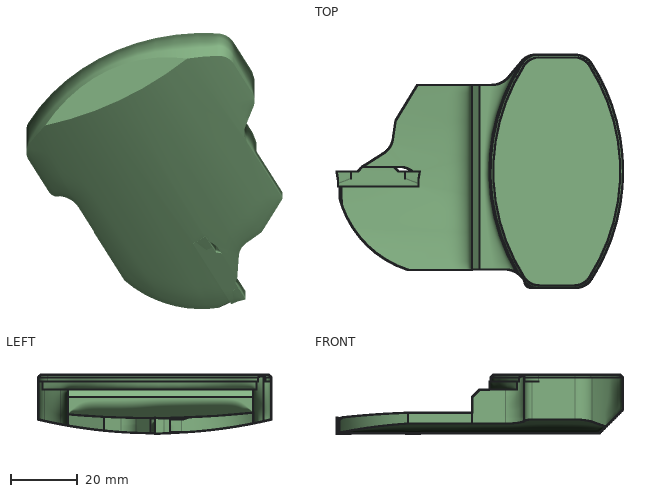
import cadquery as cq
import math

HEAD_TOP = 17.6
SHOULDER_TOP = 13.1
LEDGE_Z = 15.6
BELLY_RADIUS = 150.0

HEAD_HALF_WIDTH = 20.0
HEAD_HALF_LENGTH = 35.0
LENS_RADIUS = 60.0
HEAD_CORNER_RADIUS = 6.0
TIER_OUTSET = 0.1
CAP_INSET = 0.25
CAP_CHAMFER = 0.85
HEEL_CHAMFER = 7.1

SHOULDER_X = -25.25
SHOULDER_CHAMFER = 2.2
BACK_Y = 25.95
FRONT_Y = -29.45
BACK_NECK_ANGLE = 50.0
BACK_NECK_X = -16.3
BACK_NECK_RADIUS = 6.5
BACK_CORNER_RADIUS = 5.5
FRONT_NECK_X = -15.3
FRONT_CORNER_X = -7.3
FRONT_CORNER_RADIUS = 2.35

BLADE_CROWN_RADIUS = 285.0
BLADE_CROWN_Y = 1.0
BLADE_THICKNESS = 4.57
BLADE_FRONT_Y = -29.6
NOSE_X = -65.0
NOSE_END_Y = -8.0
NOSE_ARC_START_X = -44.4
NOSE_ARC_MIDDLE = (-57.4, -21.5)
THROAT_START = (-51.45, 5.67)
THROAT_MIDDLE = (-49.75, 7.6)
THROAT_END = (-49.0, 10.1)
BACK_SLANT_START = (-48.24, 15.14)
BACK_SLANT_END_X = -41.7
NOSE_TOP_CHAMFER = 0.5
NOSE_BOTTOM_CHAMFER = 0.4

INSERT_LENGTH = 25.0
INSERT_CENTER_X = -53.43
INSERT_DEPTH = 4.6
INSERT_THICKNESS = 4.46
END_RELIEF = 0.45
END_RELIEF_DEPTH = 2.7
RIB_HEIGHT = 1.3
RIB_FOOT_HALF = 6.08
RIB_TOP_HALF = 4.9
TIP_LENGTH = 4.4
TIP_DEPTH = 3.8
TIP_PROUD = 0.22
TIP_TAPER = 0.1

GAP_TOP_X = -46.6
GAP_BEND = (-44.8, 0.9)
GAP_END_X = -43.2

MARGIN = 5.0


def lens_reach(y):
    """X distance from the head centre plane to the lens arc at a given Y."""
    return HEAD_HALF_WIDTH - LENS_RADIUS + math.sqrt(LENS_RADIUS**2 - y**2)


LENS_CORNER = lens_reach(HEAD_HALF_LENGTH)


def lens(left_inset):
    """Lens outline, its left arc moved in by left_inset."""
    left_corner = left_inset - LENS_CORNER
    return (
        cq.Workplane("XY")
        .moveTo(left_corner, -HEAD_HALF_LENGTH)
        .lineTo(LENS_CORNER, -HEAD_HALF_LENGTH)
        .threePointArc((HEAD_HALF_WIDTH, 0), (LENS_CORNER, HEAD_HALF_LENGTH))
        .lineTo(left_corner, HEAD_HALF_LENGTH)
        .threePointArc((left_inset - HEAD_HALF_WIDTH, 0), (left_corner, -HEAD_HALF_LENGTH))
        .close()
    )


def round_corner(solid, x, y, radius):
    """Fillet the upright edge nearest to (x, y)."""
    return solid.edges("|Z").edges(cq.selectors.NearestToPointSelector((x, y, HEAD_TOP / 2))).fillet(radius)


def make_body_prism():
    """Full-height prism of shoulder, necks and head."""
    back_rise = HEAD_HALF_LENGTH - BACK_Y
    back_corner_x = BACK_NECK_X + back_rise / math.tan(math.radians(BACK_NECK_ANGLE))
    front_corner_y = FRONT_CORNER_RADIUS - HEAD_HALF_LENGTH
    front_corner_offset = FRONT_CORNER_RADIUS * math.sqrt(0.5)
    prism = (
        cq.Workplane("XY")
        .moveTo(SHOULDER_X, FRONT_Y)
        .lineTo(FRONT_NECK_X, FRONT_Y)
        .tangentArcPoint((FRONT_CORNER_X - FRONT_CORNER_RADIUS, front_corner_y), relative=False)
        .threePointArc(
            (FRONT_CORNER_X - front_corner_offset, front_corner_y - front_corner_offset),
            (FRONT_CORNER_X, -HEAD_HALF_LENGTH),
        )
        .lineTo(LENS_CORNER, -HEAD_HALF_LENGTH)
        .threePointArc((HEAD_HALF_WIDTH, 0), (LENS_CORNER, HEAD_HALF_LENGTH))
        .lineTo(back_corner_x, HEAD_HALF_LENGTH)
        .lineTo(BACK_NECK_X, BACK_Y)
        .lineTo(SHOULDER_X, BACK_Y)
        .close()
        .extrude(HEAD_TOP)
    )
    corners = [
        (LENS_CORNER, -HEAD_HALF_LENGTH, HEAD_CORNER_RADIUS),
        (LENS_CORNER, HEAD_HALF_LENGTH, HEAD_CORNER_RADIUS),
        (back_corner_x, HEAD_HALF_LENGTH, BACK_CORNER_RADIUS),
        (BACK_NECK_X, BACK_Y, BACK_NECK_RADIUS),
    ]
    for x, y, radius in corners:
        prism = round_corner(prism, x, y, radius)
    return prism


def make_body_steps():
    """Side profile of the shoulder topped by the lens and its chamfered cap."""
    half_width = HEAD_HALF_LENGTH + MARGIN
    shoulder = (
        cq.Workplane("XZ")
        .moveTo(SHOULDER_X, 0)
        .lineTo(HEAD_HALF_WIDTH - HEEL_CHAMFER, 0)
        .lineTo(HEAD_HALF_WIDTH + MARGIN, HEEL_CHAMFER + MARGIN)
        .lineTo(HEAD_HALF_WIDTH + MARGIN, SHOULDER_TOP)
        .lineTo(SHOULDER_X + SHOULDER_CHAMFER, SHOULDER_TOP)
        .lineTo(SHOULDER_X, SHOULDER_TOP - SHOULDER_CHAMFER)
        .close()
        .extrude(half_width, both=True)
    )
    tier = lens(-TIER_OUTSET).extrude(LEDGE_Z - SHOULDER_TOP).translate((0, 0, SHOULDER_TOP))
    cap = (
        lens(CAP_INSET)
        .extrude(HEAD_TOP - LEDGE_Z)
        .edges("|Z")
        .fillet(HEAD_CORNER_RADIUS)
        .faces(">Z")
        .chamfer(CAP_CHAMFER)
        .translate((0, 0, LEDGE_Z))
    )
    return shoulder.union(tier).union(cap)


def x_cylinder(radius, y, bottom):
    """Cylinder along X whose lowest line sits at Z = bottom."""
    reach = INSERT_LENGTH - INSERT_CENTER_X
    return cq.Workplane("YZ").center(y, bottom + radius).circle(radius).extrude(reach, both=True)


def make_blade():
    """Flat tongue with a crowned upper face and a rounded nose."""
    foot_x = INSERT_CENTER_X - RIB_FOOT_HALF
    blade = (
        cq.Workplane("XY")
        .moveTo(SHOULDER_X, BLADE_FRONT_Y)
        .lineTo(NOSE_ARC_START_X, BLADE_FRONT_Y)
        .threePointArc(NOSE_ARC_MIDDLE, (NOSE_X, NOSE_END_Y))
        .lineTo(NOSE_X, -INSERT_DEPTH)
        .lineTo(foot_x, 0)
        .lineTo(INSERT_CENTER_X - RIB_TOP_HALF, RIB_HEIGHT)
        .lineTo(*THROAT_START)
        .threePointArc(THROAT_MIDDLE, THROAT_END)
        .lineTo(*BACK_SLANT_START)
        .lineTo(BACK_SLANT_END_X, BACK_Y)
        .lineTo(SHOULDER_X, BACK_Y)
        .close()
        .extrude(SHOULDER_TOP)
    )
    crown = x_cylinder(BLADE_CROWN_RADIUS, BLADE_CROWN_Y, BLADE_THICKNESS)
    return blade.cut(crown)


def nose_bevel(size, z, outward):
    """Bar along Y with a 45 degree face that bevels the nose edge at height z.

    outward is 1 for an edge facing up and -1 for an edge facing down.
    """
    x_out = NOSE_X - size
    x_in = NOSE_X + 2 * size
    z_near = z - outward * 2 * size
    z_far = z + outward * size
    return (
        cq.Workplane("XZ")
        .polyline([(x_out, z_far), (x_out, z_near), (x_in, z_far)])
        .close()
        .extrude(MARGIN - NOSE_END_Y)
    )


def insert_plan():
    """Insert outline in plan, cutting edges at Y = 0."""
    half = INSERT_LENGTH / 2
    right = [
        (RIB_TOP_HALF, RIB_HEIGHT),
        (RIB_FOOT_HALF, 0),
        (half, 0),
        (half - END_RELIEF, -END_RELIEF_DEPTH),
        (half - END_RELIEF, -INSERT_DEPTH),
    ]
    left = [(-x, y) for x, y in reversed(right)]
    return cq.Workplane("XY").polyline(right + left).close()


def tip_wedge():
    """Thin pyramid standing on Z = 0 whose upper face is the proud flank of the right tip."""
    half = INSERT_LENGTH / 2
    inner_x = half - TIP_LENGTH
    inner_rise = TIP_PROUD * (1 - TIP_TAPER * TIP_LENGTH)
    inner_depth = TIP_DEPTH * (1 - TIP_TAPER * TIP_LENGTH)
    outer = cq.Vector(half, 0, 0)
    outer_top = cq.Vector(half, 0, TIP_PROUD)
    outer_low = cq.Vector(half, -TIP_DEPTH, 0)
    inner = cq.Vector(inner_x, 0, 0)
    inner_top = cq.Vector(inner_x, 0, inner_rise)
    inner_low = cq.Vector(inner_x, -inner_depth, 0)
    loops = [
        [outer, outer_low, outer_top],
        [inner, inner_top, inner_low],
        [outer, outer_top, inner_top, inner],
        [outer, inner, inner_low, outer_low],
        [outer_top, outer_low, inner_low, inner_top],
    ]
    faces = [cq.Face.makeFromWires(cq.Wire.makePolygon(loop, close=True)) for loop in loops]
    return cq.Workplane(cq.Solid.makeSolid(cq.Shell.makeShell(faces)))


def make_insert():
    """Bar with a locating rib and four proud flanks, two at each end."""
    bar = insert_plan().extrude(INSERT_THICKNESS)
    trim = insert_plan().extrude(INSERT_THICKNESS + 2 * TIP_PROUD).translate((0, 0, -TIP_PROUD))
    upper_wedge = tip_wedge().translate((0, 0, INSERT_THICKNESS))
    lower_wedge = tip_wedge().mirror("XY")
    for wedge in (upper_wedge, lower_wedge):
        flank = wedge.intersect(trim)
        bar = bar.union(flank).union(flank.mirror("YZ"))
    return bar.translate((INSERT_CENTER_X, 0, 0))


def make_seat():
    """Through pocket that follows the insert outline."""
    return insert_plan().extrude(SHOULDER_TOP).translate((INSERT_CENTER_X, 0, -MARGIN))


def make_gap():
    """Through gap between the rib, the right tip and the blade."""
    return (
        cq.Workplane("XY", origin=(0, 0, -MARGIN))
        .moveTo(INSERT_CENTER_X + RIB_TOP_HALF, RIB_HEIGHT)
        .lineTo(GAP_TOP_X, RIB_HEIGHT)
        .threePointArc(GAP_BEND, (GAP_END_X, 0))
        .lineTo(INSERT_CENTER_X + RIB_FOOT_HALF, 0)
        .close()
        .extrude(SHOULDER_TOP)
    )


def make_holder():
    """Head, shoulder and blade in one piece, crowned below and cut out for the insert."""
    head = make_body_prism().intersect(make_body_steps())
    nose_bottom = BELLY_RADIUS - math.sqrt(BELLY_RADIUS**2 - INSERT_DEPTH**2)
    blade = make_blade()
    blade = blade.cut(nose_bevel(NOSE_TOP_CHAMFER, BLADE_THICKNESS, 1))
    blade = blade.cut(nose_bevel(NOSE_BOTTOM_CHAMFER, nose_bottom, -1))
    belly = x_cylinder(BELLY_RADIUS, 0, 0)
    return head.union(blade).intersect(belly).cut(make_gap()).cut(make_seat())


holder = make_holder().solids()
insert = make_insert().solids()

result = cq.Compound.makeCompound([holder.val(), insert.val()])